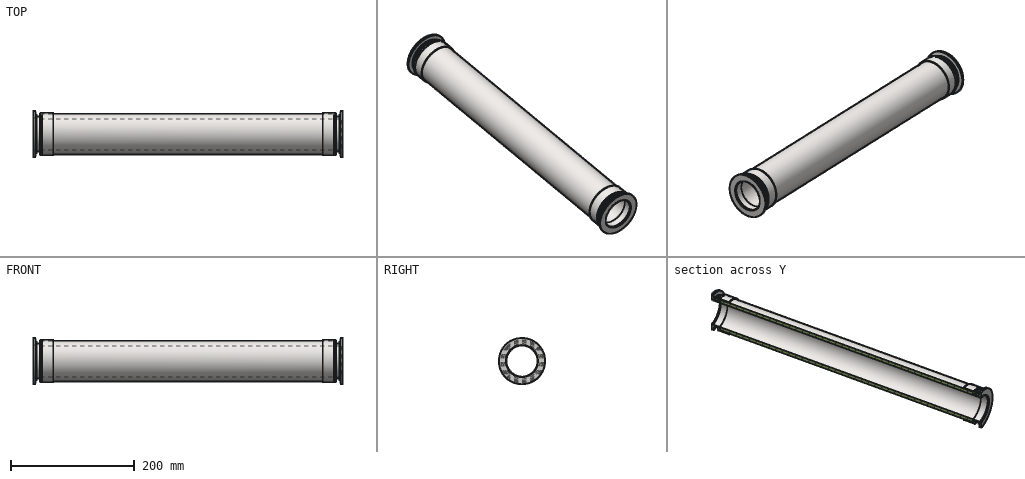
import cadquery as cq

length = 500.0
bore_radius = 25.0

rim_radius = 37.5
rim_edge_width = 3.5
rim_root_width = 4.5
hub_radius = 31.0
hub_end = 6.0
neck_radius = 28.5
neck_end = 15.0
recess_radius = 26.0
recess_depth = 2.5

tube_radius = 33.0
tube_length = length - 2 * neck_end

collar_radius = 34.5
collar_start = 11.0
collar_end = 32.5
collar_chamfer = 1.5


def revolve_about_x(points):
    """Revolve a closed outline of (axial position, radius) points about X."""
    outline = cq.Workplane("XY").polyline(points).close()
    return outline.revolve(360, (0, 0, 0), (1, 0, 0))


def make_flange():
    """Flange whose outer face is at X = 0, with the neck pointing along +X."""
    return revolve_about_x([
        (0, recess_radius),
        (0, rim_radius),
        (rim_edge_width, rim_radius),
        (rim_root_width, hub_radius),
        (hub_end, hub_radius),
        (hub_end, neck_radius),
        (neck_end, neck_radius),
        (neck_end, bore_radius),
        (recess_depth, bore_radius),
        (recess_depth, recess_radius),
    ])


def make_collar():
    """Collar around the neck and tube end nearest X = 0."""
    return revolve_about_x([
        (collar_start, neck_radius),
        (collar_start, collar_radius - collar_chamfer),
        (collar_start + collar_chamfer, collar_radius),
        (collar_end, collar_radius),
        (collar_end, tube_radius),
        (neck_end, tube_radius),
        (neck_end, neck_radius),
    ])


def make_tube():
    """Plain tube between the inner ends of the flange necks."""
    section = cq.Workplane("YZ").circle(tube_radius).circle(bore_radius)
    return section.extrude(tube_length).translate((-tube_length / 2, 0, 0))


def at_both_ends(body):
    """Place a body at the -X end and its mirrored copy at the +X end."""
    near_end = body.translate((-length / 2, 0, 0))
    return [near_end.val(), near_end.mirror("YZ").val()]


tube = make_tube()
flanges = at_both_ends(make_flange())
collars = at_both_ends(make_collar())

result = cq.Compound.makeCompound([tube.val(), *flanges, *collars])